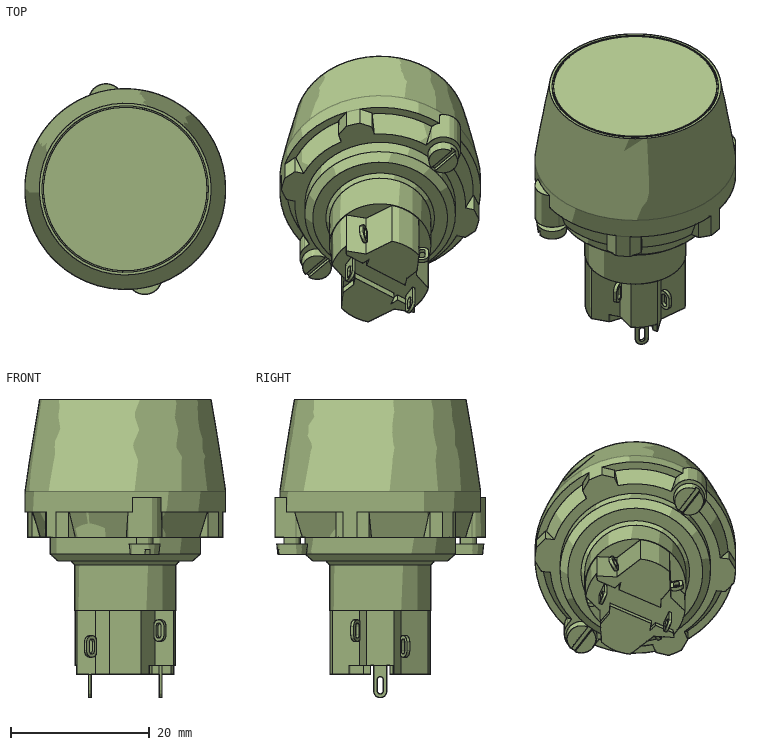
import cadquery as cq
import math

total_height = 43.0
flange_top = 29.75
boss_top = 28.9
flange_bottom = 26.75
cup_bottom = 23.15
collar_bottom = 20.73
collar_end = 19.7
neck_top = 19.15
socket_top = 12.55
recess_roof = 4.65
socket_bottom = 3.35

flange_radius = 14.5
bezel_bulge_radius = 13.5
bezel_bulge_height = 36.38
bezel_top_radius = 12.4
lens_gap_outer_radius = 24.0 / 2
lens_gap_inner_radius = 23.55 / 2
lens_gap_depth = 0.2

cup_top_radius = 13.4
cup_bottom_radius = 24.6 / 2
collar_radius = 21.7 / 2
collar_end_radius = 9.7
neck_radius = 7.83
body_radius = 14.6 / 2
socket_radius = 14.5 / 2

station_count = 6
first_station_angle = -77.6
boss_stations = (0, 3)
station_inner_radius = 8.6
boss_radius = 2.5
screw_circle_radius = 26.0 / 2
lug_half_width = 2.5
lug_face_half_width = 1.05
lug_shoulder_radius = 13.35
lug_face_radius = 14.45

shank_radius = 2.4 / 2
head_top = 22.2
head_bottom = 20.65
head_top_radius = 2.25
head_bottom_radius = 2.05
driver_slot_width = 0.75
driver_slot_depth = 0.75

notch_x_end = (7.05, 1.95)
notch_root = (4.25, 3.0)
notch_y_end = (2.2, 7.05)

channel_half_width = 1.38
pocket_inner_x = 3.4
pocket_root = (2.95, 2.45)
pocket_outer_corner = (3.5, 4.35)
groove_start_x = 3.2
groove_root = (3.4, 2.45)
groove_end_x = 3.83
mouth_flare_x = 6.6

pin_thickness = 0.45
loop_thickness = 0.5
pin_position = 5.1
pin_width = 1.9
pin_slot_width = 0.8
pin_slot_bottom = 0.55
pin_slot_top = 3.0
loop_outer_reach = 7.0
loop_inner_reach = 5.1
loop_height = 3.15
loop_slot_width = 0.85
loop_slot_height = 2.15
loop_low_center = 7.4
loop_high_center = 9.68

overrun = 1.3


def cylinder(radius, bottom, top):
    return cq.Workplane("XY").workplane(offset=bottom).circle(radius).extrude(top - bottom)


def prism(points, bottom, top):
    return cq.Workplane("XY").workplane(offset=bottom).polyline(points).close().extrude(top - bottom)


def turn(shape, angle):
    return shape.rotate((0, 0, 0), (0, 0, 1), angle)


def upright_slot(height, width, thickness):
    """Plate in the XZ plane with round top and bottom ends, centred on the origin."""
    return cq.Workplane("XZ").slot2D(height, width, 90).extrude(thickness / 2, both=True)


def make_revolved_body():
    """Bezel, flange, cup, collar and round body turned about Z."""
    body = (
        cq.Workplane("XZ")
        .moveTo(0, total_height)
        .lineTo(bezel_top_radius, total_height)
        .threePointArc((bezel_bulge_radius, bezel_bulge_height), (flange_radius, flange_top))
        .lineTo(flange_radius, flange_bottom)
        .lineTo(cup_top_radius, flange_bottom)
        .lineTo(cup_bottom_radius, cup_bottom)
        .lineTo(collar_radius, cup_bottom)
        .lineTo(collar_radius, collar_bottom)
        .lineTo(collar_end_radius, collar_end)
        .lineTo(neck_radius, collar_end)
        .lineTo(body_radius, neck_top)
        .lineTo(body_radius, socket_top)
        .lineTo(socket_radius, socket_top)
        .lineTo(socket_radius, socket_bottom)
        .lineTo(0, socket_bottom)
        .close()
        .revolve(360, (0, 0, 0), (0, 1, 0))
    )
    lens_gap = (
        cq.Workplane("XY")
        .workplane(offset=total_height - lens_gap_depth)
        .circle(lens_gap_outer_radius)
        .circle(lens_gap_inner_radius)
        .extrude(lens_gap_depth)
    )
    return body.cut(lens_gap)


def make_notches():
    """Shallow V notches along the four corners of the socket."""
    outside = body_radius + overrun
    corner = [notch_x_end, notch_root, notch_y_end, (notch_y_end[0], outside),
              (outside, outside), (outside, notch_x_end[1])]
    notches = cq.Workplane("XY")
    for x_side in (-1, 1):
        for y_side in (-1, 1):
            points = [(x_side * x, y_side * y) for x, y in corner]
            notches = notches.add(prism(points, socket_bottom, socket_top))
    return notches.combine()


def make_bottom_recess():
    """Recess around the pins; its outline repeats after half a turn."""
    outside = body_radius + overrun
    half = [
        (0, -channel_half_width),
        (pocket_inner_x, -channel_half_width),
        (pocket_root[0], -pocket_root[1]),
        (pocket_outer_corner[0], -pocket_outer_corner[1]),
        (pocket_outer_corner[0], -outside),
        (outside, -outside),
        (outside, notch_x_end[1]),
        notch_x_end,
        (mouth_flare_x, channel_half_width),
        (groove_end_x, channel_half_width),
        groove_root,
        (groove_start_x, channel_half_width),
        (0, channel_half_width),
    ]
    recess = prism(half, socket_bottom, recess_roof)
    return recess.union(turn(recess, 180))


def make_lug():
    """Lug on +X with slanted shoulders and its outer face on the flange cylinder."""
    outside = flange_radius + overrun
    points = [
        (station_inner_radius, -lug_half_width),
        (lug_shoulder_radius, -lug_half_width),
        (lug_face_radius, -lug_face_half_width),
        (outside, -lug_face_half_width),
        (outside, lug_face_half_width),
        (lug_face_radius, lug_face_half_width),
        (lug_shoulder_radius, lug_half_width),
        (station_inner_radius, lug_half_width),
    ]
    lug = prism(points, cup_bottom, flange_bottom)
    return lug.intersect(cylinder(flange_radius, cup_bottom, flange_bottom))


def make_screw_boss():
    """Round-ended boss on +X with a slotted screw hanging below it."""
    boss = (
        cq.Workplane("XY")
        .workplane(offset=cup_bottom)
        .moveTo(station_inner_radius, -boss_radius)
        .lineTo(screw_circle_radius, -boss_radius)
        .threePointArc((screw_circle_radius + boss_radius, 0), (screw_circle_radius, boss_radius))
        .lineTo(station_inner_radius, boss_radius)
        .close()
        .extrude(boss_top - cup_bottom)
    )
    screw = (
        cq.Workplane("XZ")
        .moveTo(0, cup_bottom)
        .lineTo(shank_radius, cup_bottom)
        .lineTo(shank_radius, head_top)
        .lineTo(head_top_radius, head_top)
        .lineTo(head_bottom_radius, head_bottom)
        .lineTo(0, head_bottom)
        .close()
        .revolve(360, (0, 0, 0), (0, 1, 0))
    )
    driver_slot = (
        cq.Workplane("XY")
        .workplane(offset=head_bottom)
        .rect(2 * (head_top_radius + overrun), driver_slot_width)
        .extrude(driver_slot_depth)
    )
    return boss.union(screw.cut(driver_slot).translate((screw_circle_radius, 0, 0)))


def make_pin():
    """Flat bottom pin on +X with a round tip and a slotted eye."""
    tip_radius = pin_width / 2
    pin = (
        cq.Workplane("YZ")
        .moveTo(-tip_radius, recess_roof)
        .lineTo(-tip_radius, tip_radius)
        .threePointArc((0, 0), (tip_radius, tip_radius))
        .lineTo(tip_radius, recess_roof)
        .close()
        .extrude(pin_thickness / 2, both=True)
    )
    eye = (
        cq.Workplane("YZ")
        .center(0, (pin_slot_bottom + pin_slot_top) / 2)
        .slot2D(pin_slot_top - pin_slot_bottom, pin_slot_width, 90)
        .extrude(pin_thickness, both=True)
    )
    return pin.cut(eye).translate((pin_position, 0, 0))


def make_loop(center_height):
    """Upright loop terminal standing out along +X."""
    plate = upright_slot(loop_height, loop_outer_reach - loop_inner_reach, loop_thickness)
    eye = upright_slot(loop_slot_height, loop_slot_width, 2 * loop_thickness)
    return plate.cut(eye).translate(((loop_outer_reach + loop_inner_reach) / 2, 0, center_height))


result = make_revolved_body().cut(make_notches()).cut(make_bottom_recess())

for station in range(station_count):
    fitting = make_screw_boss() if station in boss_stations else make_lug()
    result = result.union(turn(fitting, first_station_angle + station * 360 / station_count))

for angle in (0, 180):
    result = result.union(turn(make_pin(), angle))

notch_angle = math.degrees(math.atan2(notch_root[1], notch_root[0]))
for angle in (0, 180):
    result = result.union(turn(make_loop(loop_low_center), angle + notch_angle))
    result = result.union(turn(make_loop(loop_high_center), angle - notch_angle))